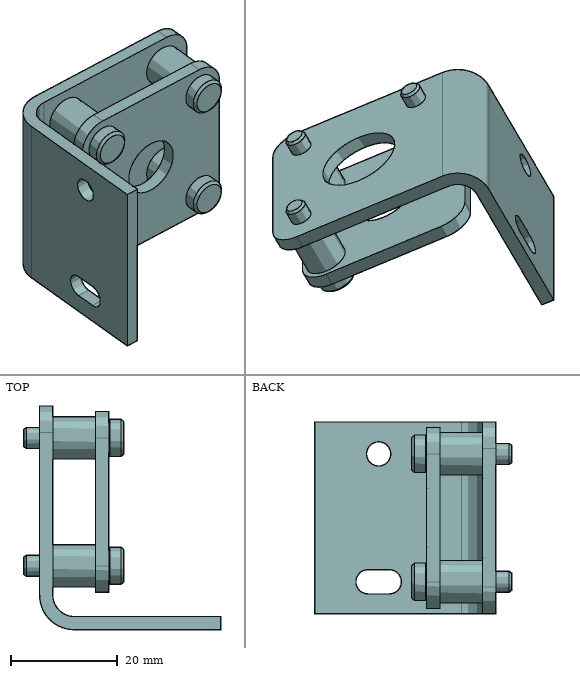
import cadquery as cq

total_width = 37.0
depth = 42.0
height = 36.0
sheet = 2.5
bend_outer_radius = 6.5
plate_corner_radius = 5.0

pin_diameter = 4.0
pin_protrusion = 3.0
pin_tip_diameter = 3.25
pin_tip_length = 0.5
spacer_diameter = 8.0
spacer_length = 8.0
head_diameter = 7.0
head_length = 2.8
head_chamfer = 0.5
head_seat_diameter = 5.6
head_seat_thickness = 0.15
pin_inset = 6.0

bracket_bore = 15.0
link_bore = 11.0
link_corner_radius = 5.0
mount_hole_diameter = 4.5
slot_length = 8.5
mount_hole_x = 25.0

plate_x = pin_protrusion
spacer_x = plate_x + sheet
link_x = spacer_x + spacer_length
head_x = link_x + sheet
pin_pitch = height - 2 * pin_inset
back_y = depth - pin_inset
front_y = back_y - pin_pitch
low_z = pin_inset
high_z = height - pin_inset
pin_centers = [(back_y, low_z), (back_y, high_z), (front_y, high_z)]
bore_center = ((back_y + front_y) / 2, height / 2)


def cylinder(x, center, diameter, length):
    """Cylinder along +X starting at x, centred on a (y, z) point."""
    return cq.Workplane("YZ", origin=(x, *center)).circle(diameter / 2).extrude(length)


def make_bracket():
    profile = (
        cq.Workplane("XY")
        .moveTo(plate_x, depth)
        .lineTo(plate_x, 0)
        .lineTo(total_width, 0)
        .lineTo(total_width, sheet)
        .lineTo(spacer_x, sheet)
        .lineTo(spacer_x, depth)
        .close()
    )
    body = profile.extrude(height)
    body = body.edges("|Z").edges("<X and <Y").fillet(bend_outer_radius)
    inner_corner = cq.selectors.NearestToPointSelector((spacer_x, sheet, height / 2))
    body = body.edges(inner_corner).fillet(bend_outer_radius - sheet)
    body = body.edges("|X and >Y").fillet(plate_corner_radius)
    body = body.cut(cylinder(plate_x, bore_center, bracket_bore, sheet))

    round_hole = (
        cq.Workplane("XZ", origin=(mount_hole_x, 0, high_z))
        .circle(mount_hole_diameter / 2)
        .extrude(-sheet)
    )
    slot = (
        cq.Workplane("XZ", origin=(mount_hole_x, 0, low_z))
        .slot2D(slot_length, mount_hole_diameter)
        .extrude(-sheet)
    )
    return body.cut(round_hole).cut(slot)


def make_link_plate():
    side = pin_pitch + 2 * link_corner_radius
    plate = (
        cq.Workplane("YZ", origin=(link_x, *bore_center))
        .rect(side, side)
        .extrude(sheet)
        .edges("|X")
        .fillet(link_corner_radius)
    )
    return plate.cut(cylinder(link_x, bore_center, link_bore, sheet))


def make_pin(center):
    shank = cylinder(pin_tip_length, center, pin_diameter, head_x - pin_tip_length)
    tip = (
        cq.Workplane("YZ", origin=(0, *center))
        .circle(pin_tip_diameter / 2)
        .workplane(offset=pin_tip_length)
        .circle(pin_diameter / 2)
        .loft(ruled=True)
    )
    spacer = cylinder(spacer_x, center, spacer_diameter, spacer_length)
    seat = cylinder(head_x, center, head_seat_diameter, head_seat_thickness)
    head = cylinder(
        head_x + head_seat_thickness,
        center,
        head_diameter,
        head_length - head_seat_thickness,
    )
    head = head.faces(">X").chamfer(head_chamfer)
    return shank.union(tip).union(spacer).union(seat).union(head)



result = make_bracket().union(make_link_plate())
for pin_center in pin_centers:
    result = result.union(make_pin(pin_center))